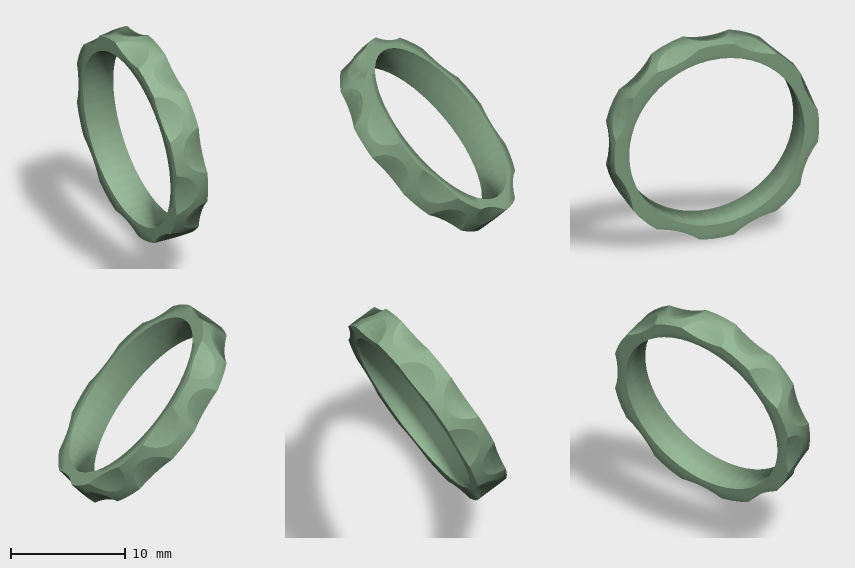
import cadquery as cq
import math

outer_diameter = 19.0
bore_diameter = 16.25
width = 3.0

dimples_per_rim = 8
dimple_sphere_radius = 8.02
rim_dimple_depth = 0.53
sphere_overhang = 1.05

dimple_pitch = 360.0 / dimples_per_rim
rim_cut_radius = math.sqrt(dimple_sphere_radius**2 - sphere_overhang**2)
sphere_centre_radius = outer_diameter / 2 - rim_dimple_depth + rim_cut_radius
sphere_centre_y = width / 2 + sphere_overhang


def plain_ring():
    return (
        cq.Workplane("XZ")
        .circle(outer_diameter / 2)
        .circle(bore_diameter / 2)
        .extrude(width / 2, both=True)
    )


def dimple_cutter(angle, centre_y):
    """Sphere outside the ring, at an angle about the Y axis measured from X."""
    centre_x = sphere_centre_radius * math.cos(math.radians(angle))
    centre_z = sphere_centre_radius * math.sin(math.radians(angle))
    return cq.Workplane("XY").sphere(dimple_sphere_radius).translate((centre_x, centre_y, centre_z))


result = plain_ring()
for index in range(dimples_per_rim):
    front_angle = index * dimple_pitch
    back_angle = front_angle + dimple_pitch / 2
    result = result.cut(dimple_cutter(front_angle, -sphere_centre_y))
    result = result.cut(dimple_cutter(back_angle, sphere_centre_y))